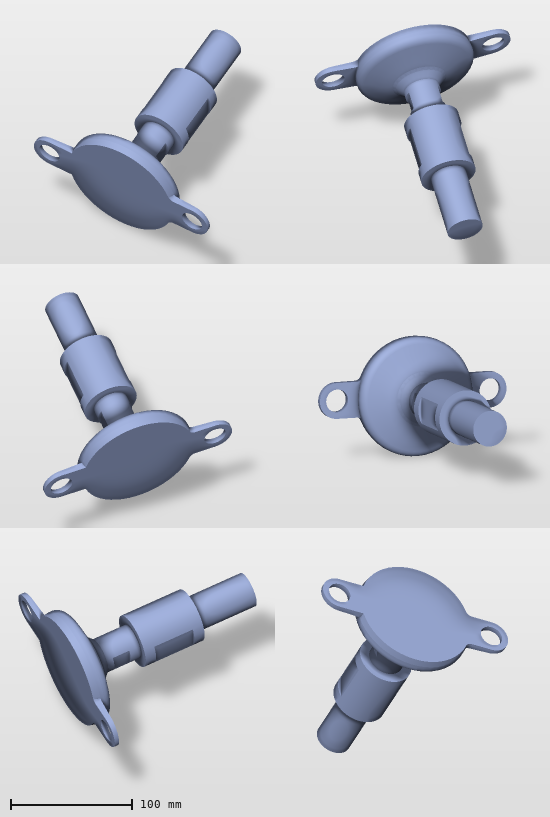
import cadquery as cq
import math

pad_radius = 50.0
pad_base_radius = 49.0
rim_draft_height = 6.0
rim_top = 9.4
shoulder_radius = 7.1
pad_slope = math.radians(19.5)
neck_top = 31.0
neck_blend_radius = 6.8

lug_radius = 15.0
lug_hole_radius = 9.5
overall_width = 166.0
lug_center_x = overall_width / 2 - lug_radius
lug_tip_height = 3.9
lug_root_x = 46.8
lug_root_blend = 5.5

rod_radius = 15.0
rod_end = 170
rod_flat_start = 36.7
rod_flat_end = 52.0
rod_flat_half_width = 12.2

collar_radius = 23.1
collar_start = 61.7
collar_end = 116.8
collar_flat_margin = 9.5
collar_flat_half_width = 20.2


def shoulder_point(angle):
    """Point on the rounded shoulder, with the angle measured from the rim's outward normal."""
    return (
        pad_radius - shoulder_radius + shoulder_radius * math.cos(angle),
        rim_top + shoulder_radius * math.sin(angle),
    )


def make_pad():
    shoulder_angle = math.pi / 2 - pad_slope
    shoulder_end = shoulder_point(shoulder_angle)

    neck_sum = rod_radius + neck_top
    slope = math.tan(pad_slope)
    neck_foot_radius = (neck_sum - shoulder_end[1] - shoulder_end[0] * slope) / (1 - slope)
    neck_foot = (neck_foot_radius, neck_sum - neck_foot_radius)

    pad = (
        cq.Workplane("XY")
        .lineTo(pad_base_radius, 0)
        .lineTo(pad_radius, rim_draft_height)
        .lineTo(pad_radius, rim_top)
        .threePointArc(shoulder_point(shoulder_angle / 2), shoulder_end)
        .lineTo(*neck_foot)
        .lineTo(rod_radius, neck_top)
        .lineTo(0, neck_top)
        .close()
        .revolve(360, (0, 0, 0), (0, 1, 0))
    )
    reach = neck_foot_radius + 1.7
    band = cq.selectors.BoxSelector(
        (-reach, neck_foot[1] - 0.2, -reach), (reach, neck_foot[1] + 0.2, reach)
    )
    return pad.edges(band).fillet(neck_blend_radius)


def upright_disk(center_x, radius):
    return cq.Workplane("XZ").center(center_x, 0).circle(radius).extrude(-rim_draft_height)


def blend_root(outline):
    """Join the +X lug to a disk inside the pad and round the two corners between them."""
    plate = outline.union(upright_disk(0, pad_base_radius))
    corner_x = math.sqrt(pad_base_radius**2 - lug_radius**2)
    for corner_z in (-lug_radius, lug_radius):
        corner = cq.selectors.NearestToPointSelector((corner_x, rim_draft_height / 2, corner_z))
        plate = plate.edges("|Y").edges(corner).fillet(lug_root_blend)
    return plate


def make_lug(side):
    """Tapered lug with a rounded end; side is +1 for +X and -1 for -X."""
    tip_x = overall_width / 2
    taper = (
        cq.Workplane("XY")
        .polyline([
            (0, 0),
            (side * tip_x, 0),
            (side * tip_x, lug_tip_height),
            (side * lug_root_x, rim_draft_height),
            (0, rim_draft_height),
        ])
        .close()
        .extrude(pad_radius, both=True)
    )
    outline = (
        cq.Workplane("XZ")
        .center(side * lug_center_x / 2, 0)
        .rect(lug_center_x, 2 * lug_radius)
        .extrude(-rim_draft_height)
    )
    rounded_end = upright_disk(side * lug_center_x, lug_radius)
    outline = outline.union(rounded_end)
    if side > 0:
        outline = blend_root(outline)
    hole = upright_disk(side * lug_center_x, lug_hole_radius)
    return taper.intersect(outline).cut(hole)


def cut_flats(body, half_width, start, end):
    """Cut a pair of flats facing -X and +X between two places along Y."""
    depth = collar_radius
    for side in (-1, 1):
        cutter = (
            cq.Workplane("XY")
            .box(depth, end - start, 2 * collar_radius)
            .translate((side * (half_width + depth / 2), (start + end) / 2, 0))
        )
        body = body.cut(cutter)
    return body


def make_bar(radius, start, end):
    """Round bar about the Y axis between two places along Y."""
    return cq.Workplane("XZ", origin=(0, start, 0)).circle(radius).extrude(start - end)


def make_foot():
    foot = make_pad()
    for side in (-1, 1):
        foot = foot.union(make_lug(side))
    rod = make_bar(rod_radius, neck_top, rod_end)
    rod = cut_flats(rod, rod_flat_half_width, rod_flat_start, rod_flat_end)
    return foot.union(rod)


def make_collar():
    collar = make_bar(collar_radius, collar_start, collar_end)
    bore = make_bar(rod_radius, collar_start, collar_end)
    return cut_flats(
        collar.cut(bore),
        collar_flat_half_width,
        collar_start + collar_flat_margin,
        collar_end - collar_flat_margin,
    )


foot = make_foot()
collar = make_collar()

result = cq.Compound.makeCompound([foot.solids().val(), collar.solids().val()])